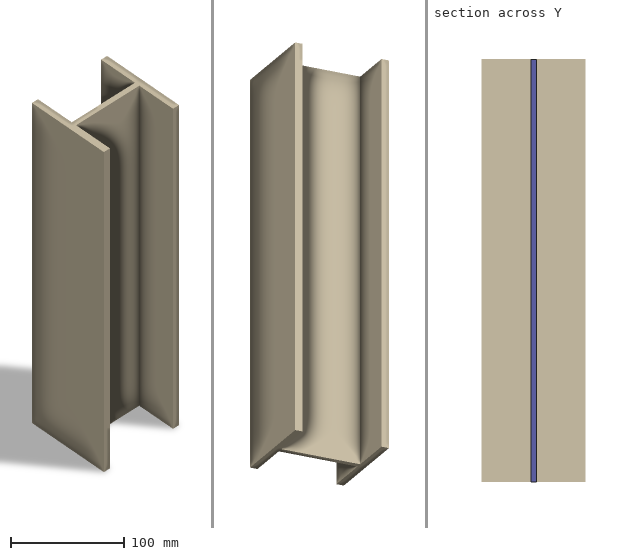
import cadquery as cq

flange_width = 91.93
section_depth = 91.93
beam_length = 373.61
flange_thickness = 7.35
web_thickness = 5.52

flange_spacing = section_depth - flange_thickness


def make_flange(y_centre):
    """Flat plate parallel to the XZ plane."""
    plate = cq.Workplane("XY").box(flange_width, flange_thickness, beam_length)
    return plate.translate((0, y_centre, 0))


def make_web():
    """Central plate reaching to the middle of each flange."""
    return cq.Workplane("XY").box(web_thickness, flange_spacing, beam_length)


result = make_web()
for side in (-1, 1):
    result = result.union(make_flange(side * flange_spacing / 2))